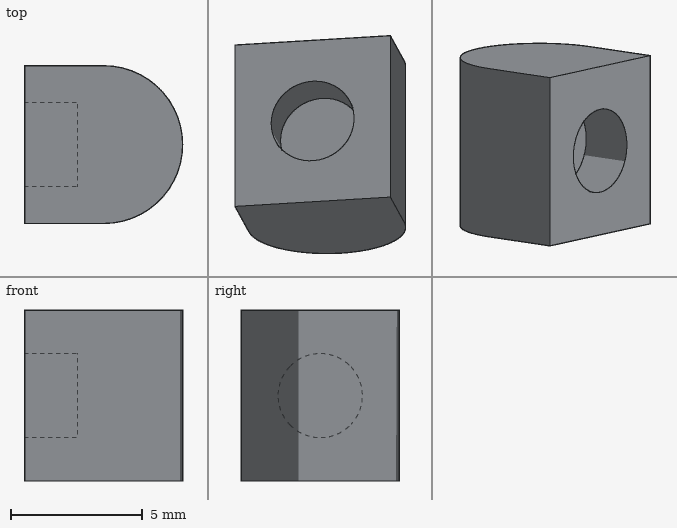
import cadquery as cq

width = 6.0
height = 6.5
straight_length = 3.0
hole_diameter = 3.2
hole_depth = 2.0

nose_radius = width / 2


def make_body():
    """D-shaped block: flat back at -X, half-round nose at +X."""
    return (
        cq.Workplane("XY")
        .moveTo(-straight_length, -nose_radius)
        .lineTo(0, -nose_radius)
        .threePointArc((nose_radius, 0), (0, nose_radius))
        .lineTo(-straight_length, nose_radius)
        .close()
        .extrude(height)
    )


def make_blind_hole():
    """Flat-bottomed hole entering the middle of the back face along +X."""
    return (
        cq.Workplane("YZ", origin=(-straight_length, 0, height / 2))
        .circle(hole_diameter / 2)
        .extrude(hole_depth)
    )


result = make_body().cut(make_blind_hole())